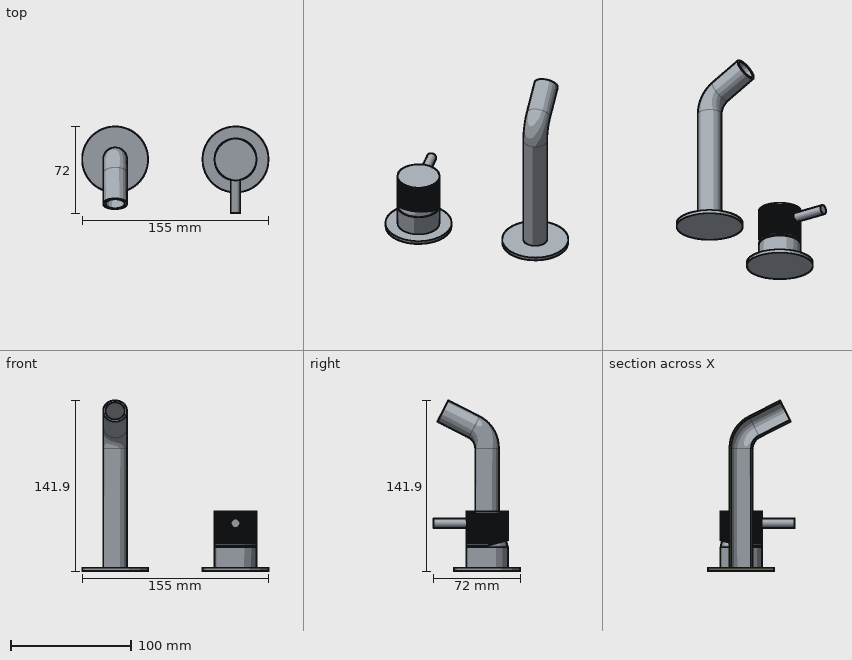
import cadquery as cq
import math

plate_diameter = 55
plate_thickness = 3
plate_spacing = 100

spout_diameter = 20
spout_wall = 2
spout_straight_top = 102
spout_bend_radius = 20
spout_bend_angle = 63
spout_mouth_height = 133

base_diameter = 35
base_top = 20
knob_gap = 1
neck_radius = 17
dome_radius = 17.25

knob_radius = base_diameter / 2
knob_top = 49.7
knob_bottom = base_top + knob_gap
dome_centre = knob_bottom - math.sqrt(dome_radius**2 - neck_radius**2)
tilt_angle = 15

groove_count = 60
groove_width = 1
groove_depth = 0.4
plain_band = 1.7

lever_diameter = 8
lever_height = 39.75
lever_reach = 44.5
lever_root = 15
lever_tip_chamfer = 0.1


def make_plate(x):
    return cq.Workplane("XY").center(x, 0).circle(plate_diameter / 2).extrude(plate_thickness)


def make_spout():
    """Tube rising from the plate, bending forward and ending in an open square-cut mouth."""
    angle = math.radians(spout_bend_angle)
    bend_end_y = -spout_bend_radius * (1 - math.cos(angle))
    bend_end_z = spout_straight_top + spout_bend_radius * math.sin(angle)
    bend_middle_y = -spout_bend_radius * (1 - math.cos(angle / 2))
    bend_middle_z = spout_straight_top + spout_bend_radius * math.sin(angle / 2)
    mouth_y = bend_end_y - (spout_mouth_height - bend_end_z) * math.tan(angle)
    centre_line = (
        cq.Workplane("YZ")
        .moveTo(0, plate_thickness)
        .lineTo(0, spout_straight_top)
        .threePointArc((bend_middle_y, bend_middle_z), (bend_end_y, bend_end_z))
        .lineTo(mouth_y, spout_mouth_height)
    )
    outer_radius = spout_diameter / 2
    tube_section = (
        cq.Workplane("XY", origin=(0, 0, plate_thickness))
        .circle(outer_radius)
        .circle(outer_radius - spout_wall)
    )
    return tube_section.sweep(centre_line)


def make_base():
    """Base cylinder, short neck and spherical dome, turned as one profile."""
    profile = (
        cq.Workplane("XZ")
        .moveTo(0, plate_thickness)
        .lineTo(base_diameter / 2, plate_thickness)
        .lineTo(base_diameter / 2, base_top)
        .lineTo(neck_radius, base_top)
        .lineTo(neck_radius, knob_bottom)
        .radiusArc((0, dome_centre + dome_radius), -dome_radius)
        .close()
    )
    return profile.revolve(360, (0, 0), (0, 1)).translate((plate_spacing, 0, 0))


def make_knurl_cutter():
    """All the V grooves, spaced evenly round the knob, one of them facing the front."""
    groove_bottom = knob_bottom + plain_band
    groove_length = knob_top - plain_band - groove_bottom
    mouth_radius = math.sqrt(knob_radius**2 - (groove_width / 2) ** 2)
    overshoot = 1
    groove = (
        cq.Workplane("XY", origin=(0, 0, groove_bottom))
        .moveTo(0, -(knob_radius - groove_depth))
        .lineTo(groove_width / 2, -mouth_radius)
        .lineTo(groove_width / 2, -knob_radius - overshoot)
        .lineTo(-groove_width / 2, -knob_radius - overshoot)
        .lineTo(-groove_width / 2, -mouth_radius)
        .close()
        .extrude(groove_length)
        .val()
    )
    pitch = 360 / groove_count
    grooves = [groove.rotate((0, 0, 0), (0, 0, 1), i * pitch) for i in range(groove_count)]
    return cq.Workplane(cq.Compound.makeCompound(grooves))


def make_tilt_clearance():
    """Wedge that opens toward the back from the middle of the knob bottom."""
    reach = base_diameter
    rise = reach * math.tan(math.radians(tilt_angle))
    return (
        cq.Workplane("YZ")
        .moveTo(0, knob_bottom)
        .lineTo(reach, knob_bottom)
        .lineTo(reach, knob_bottom + rise)
        .close()
        .extrude(reach, both=True)
    )


def make_lever():
    return (
        cq.Workplane("XZ", origin=(0, -lever_root, lever_height))
        .circle(lever_diameter / 2)
        .extrude(lever_reach - lever_root)
        .faces("<Y")
        .chamfer(lever_tip_chamfer)
    )


def make_knob():
    """Knurled knob with its lever, riding on the dome of the base."""
    knob_height = knob_top - knob_bottom
    body = cq.Workplane("XY", origin=(0, 0, knob_bottom)).circle(knob_radius).extrude(knob_height)
    socket = cq.Workplane("XY", origin=(0, 0, dome_centre)).sphere(dome_radius)
    body = body.cut(make_knurl_cutter()).cut(socket).cut(make_tilt_clearance())
    return body.union(make_lever()).translate((plate_spacing, 0, 0))


plates = [make_plate(x) for x in (0, plate_spacing)]
spout = make_spout()
base = make_base()
knob = make_knob()

result = cq.Compound.makeCompound(
    [*[plate.val() for plate in plates], spout.val(), base.val(), *knob.solids().vals()]
)